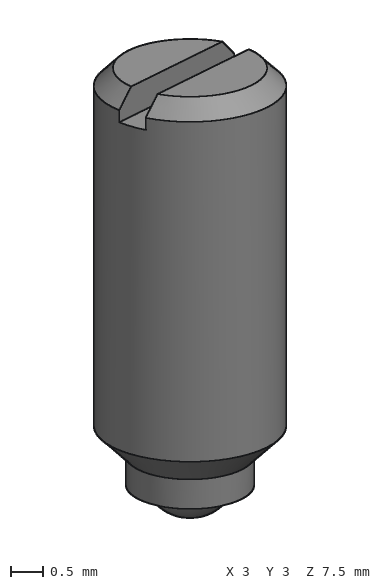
import cadquery as cq

total_length = 7.5
body_diameter = 3.0
pin_diameter = 2.0
ball_diameter = 1.5
ball_projection = 0.5
pin_length = 0.495
top_chamfer = 0.3
slot_width = 0.52
slot_depth = 0.5

body_radius = body_diameter / 2
pin_radius = pin_diameter / 2
ball_radius = ball_diameter / 2
cone_bottom = ball_projection + pin_length
cone_height = body_radius - pin_radius
body_bottom = cone_bottom + cone_height


def make_body():
    """Cylinder with a chamfered top and a taper down to the pin."""
    return (
        cq.Workplane("XZ")
        .moveTo(0, cone_bottom)
        .lineTo(pin_radius, cone_bottom)
        .lineTo(body_radius, body_bottom)
        .lineTo(body_radius, total_length - top_chamfer)
        .lineTo(body_radius - top_chamfer, total_length)
        .lineTo(0, total_length)
        .close()
        .revolve(360, (0, 0, 0), (0, 1, 0))
    )


def make_pin():
    """Short cylinder that holds the ball."""
    return cq.Workplane("XY", origin=(0, 0, ball_projection)).circle(pin_radius).extrude(pin_length)


def make_ball():
    """Ball projecting below the pin, with its upper part buried in the body."""
    return cq.Workplane("XY", origin=(0, 0, ball_radius)).sphere(ball_radius)


def make_slot():
    """Screwdriver slot across the top, along Y."""
    return (
        cq.Workplane("XY", origin=(0, 0, total_length - slot_depth))
        .rect(slot_width, body_diameter)
        .extrude(slot_depth)
    )


result = make_body().union(make_pin()).union(make_ball()).cut(make_slot())